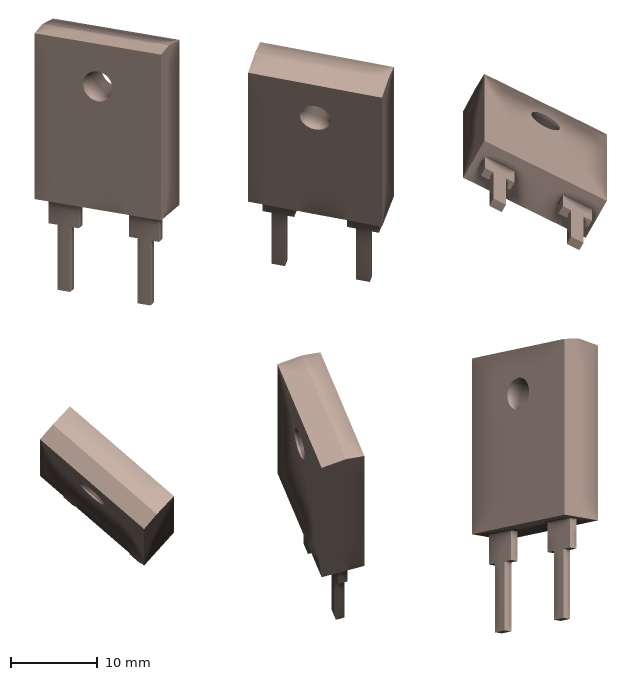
import cadquery as cq
import math

housing_width = 16.0
housing_depth = 5.2
housing_height = 21.0
roof_slope = 8.0

hole_diameter = 3.7
hole_below_ridge = 5.6

overall_height = 32.6
terminal_pitch = 10.15
terminal_thickness = 1.05
shoulder_width = 3.8
shoulder_height = 3.5
lead_width = 1.63
lead_height = overall_height - housing_height - shoulder_height

ridge_to_front = 2.25
front_y = -ridge_to_front
back_y = front_y + housing_depth


def eave_height(distance_from_ridge):
    """Height of the roof at a given distance from the ridge."""
    return housing_height - distance_from_ridge * math.tan(math.radians(roof_slope))


def make_housing():
    """Roofed slab with its mounting hole."""
    profile = [
        (front_y, 0),
        (back_y, 0),
        (back_y, eave_height(back_y)),
        (0, housing_height),
        (front_y, eave_height(ridge_to_front)),
    ]
    slab = cq.Workplane("YZ").polyline(profile).close().extrude(housing_width / 2, both=True)
    hole = (
        cq.Workplane("XZ", origin=(0, back_y, 0))
        .center(0, housing_height - hole_below_ridge)
        .circle(hole_diameter / 2)
        .extrude(housing_depth)
    )
    return slab.cut(hole)


def make_terminal_block(x, width, height, top_z):
    """Rectangular terminal section hanging down from top_z."""
    return (
        cq.Workplane("XY", origin=(x, 0, top_z))
        .rect(width, terminal_thickness)
        .extrude(-height)
    )


def make_shoulder(x):
    """Wide terminal section against the housing underside."""
    return make_terminal_block(x, shoulder_width, shoulder_height, 0)


def make_lead(x):
    """Narrow terminal section against the shoulder underside."""
    return make_terminal_block(x, lead_width, lead_height, -shoulder_height)


housing = make_housing()
shoulders = []
leads = []
for terminal_x in (-terminal_pitch / 2, terminal_pitch / 2):
    shoulders.append(make_shoulder(terminal_x).val())
    leads.append(make_lead(terminal_x).val())

result = cq.Compound.makeCompound([housing.val(), *shoulders, *leads])